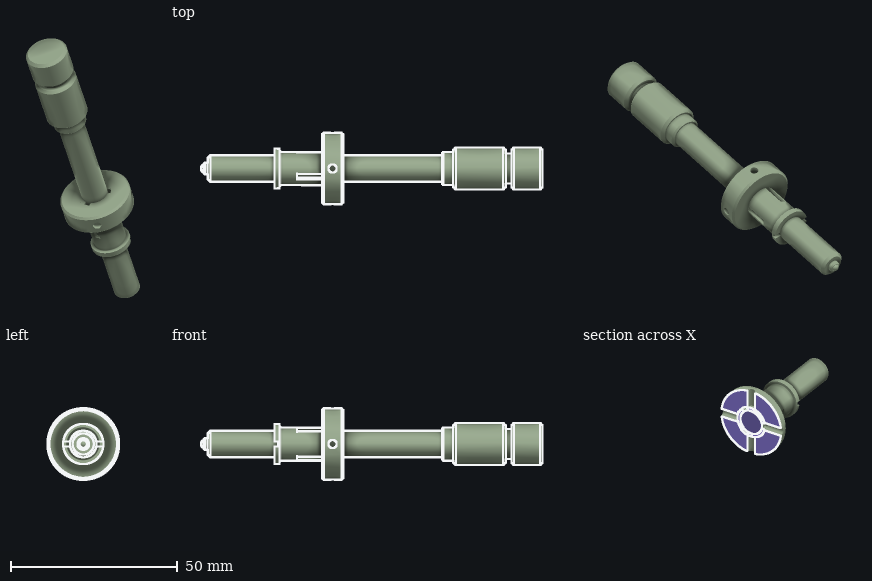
import cadquery as cq

TOTAL_LENGTH = 102.6

BALL_RADIUS = 1.2
HOLDER_RADIUS = 1.7
HOLDER_FRONT = 0.8
HOLDER_LENGTH = 4.1
HOLDER_CHAMFER = 0.4
holder_back = HOLDER_FRONT + HOLDER_LENGTH

ROD_RADIUS = 4.0
ROD_FRONT = 2.1
ROD_CHAMFER = 0.8

SLEEVE_RADIUS = 5.0
SLEEVE_FRONT = 22.1
FLANGE_RADIUS = 6.1
FLANGE_THICKNESS = 1.6
ROOT_FILLET = 0.3
NOTCH_WIDTH = 1.4
NOTCH_DEPTH = 1.1
SLOT_COUNT = 3
SLOT_WIDTH = 1.8
SLOT_FRONT = 28.9
flange_back = SLEEVE_FRONT + FLANGE_THICKNESS

COLLAR_RADIUS = 10.8
COLLAR_FRONT = 36.3
COLLAR_THICKNESS = 6.5
COLLAR_CHAMFER = 0.6
COLLAR_HOLE_COUNT = 4
COLLAR_HOLE_RADIUS = 1.2
collar_middle = COLLAR_FRONT + COLLAR_THICKNESS / 2
collar_back = COLLAR_FRONT + COLLAR_THICKNESS

NOSE_RADIUS = 5.0
NOSE_FRONT = 72.4
NOSE_CHAMFER = 0.5
BARREL_RADIUS = 6.4
BARREL_FRONT = 75.7
BARREL_BACK = 91.6
BARREL_CHAMFER = 0.8

NECK_RADIUS = 4.5
KNOB_RADIUS = BARREL_RADIUS
KNOB_FRONT = 93.2
KNOB_CHAMFER = BARREL_CHAMFER


def cylinder(radius, front, back):
    """Solid cylinder on the X axis between two x positions."""
    return cq.Workplane("YZ", origin=(front, 0, 0)).circle(radius).extrude(back - front)


def turned_about_axis(shape, index, count):
    """Copy of a shape at one of several equal angular steps about the X axis."""
    return shape.rotate((0, 0, 0), (1, 0, 0), index * 360 / count)


def make_ball():
    """Ball tip whose front point is at x = 0."""
    return cq.Workplane("XY").sphere(BALL_RADIUS).translate((BALL_RADIUS, 0, 0))


def make_holder(ball):
    """Chamfered pin whose front socket holds the ball."""
    pin = cylinder(HOLDER_RADIUS, HOLDER_FRONT, holder_back)
    return pin.faces("<X").edges().chamfer(HOLDER_CHAMFER).cut(ball)


def make_rod():
    """Long rod with a blind seat for the holder; it ends inside the barrel."""
    rod = cylinder(ROD_RADIUS, ROD_FRONT, BARREL_BACK)
    rod = rod.faces("<X").edges().chamfer(ROD_CHAMFER)
    return rod.cut(cylinder(HOLDER_RADIUS, ROD_FRONT, holder_back))


def make_sleeve():
    """Flanged sleeve on the rod, slit from the collar end into clamping fingers."""
    flange = cylinder(FLANGE_RADIUS, SLEEVE_FRONT, flange_back)
    sleeve = cylinder(SLEEVE_RADIUS, SLEEVE_FRONT, collar_back).union(flange)
    smallest_circles = sleeve.edges("%CIRCLE").edges(cq.selectors.RadiusNthSelector(0))
    sleeve = smallest_circles.edges("<X").fillet(ROOT_FILLET)

    notch = cq.Workplane("XY").box(NOTCH_DEPTH, 2 * FLANGE_RADIUS, NOTCH_WIDTH, centered=(False, True, True))
    sleeve = sleeve.cut(notch.translate((SLEEVE_FRONT, 0, 0)))

    slot = cq.Workplane("XY").box(
        collar_back - SLOT_FRONT, SLEEVE_RADIUS, SLOT_WIDTH, centered=(False, False, True)
    )
    slot = slot.translate((SLOT_FRONT, 0, 0))
    for index in range(SLOT_COUNT):
        sleeve = sleeve.cut(turned_about_axis(slot, index, SLOT_COUNT))

    return sleeve.cut(cylinder(ROD_RADIUS, SLEEVE_FRONT, collar_back))


def make_collar():
    """Chamfered ring around the sleeve with radial holes through its wall."""
    collar = cylinder(COLLAR_RADIUS, COLLAR_FRONT, collar_back).edges().chamfer(COLLAR_CHAMFER)
    hole = cq.Workplane("XY", origin=(collar_middle, 0, 0)).circle(COLLAR_HOLE_RADIUS).extrude(COLLAR_RADIUS)
    for index in range(COLLAR_HOLE_COUNT):
        collar = collar.cut(turned_about_axis(hole, index, COLLAR_HOLE_COUNT))
    return collar.cut(cylinder(SLEEVE_RADIUS, COLLAR_FRONT, collar_back))


def make_barrel():
    """Barrel with a narrower nose, bored to fit the rod."""
    nose = cylinder(NOSE_RADIUS, NOSE_FRONT, BARREL_BACK).faces("<X").edges().chamfer(NOSE_CHAMFER)
    barrel = cylinder(BARREL_RADIUS, BARREL_FRONT, BARREL_BACK).edges().chamfer(BARREL_CHAMFER)
    return barrel.union(nose).cut(cylinder(ROD_RADIUS, NOSE_FRONT, BARREL_BACK))


def make_knob():
    """Chamfered knob whose neck butts against the barrel."""
    knob = cylinder(KNOB_RADIUS, KNOB_FRONT, TOTAL_LENGTH).edges().chamfer(KNOB_CHAMFER)
    return knob.union(cylinder(NECK_RADIUS, BARREL_BACK, KNOB_FRONT))


ball = make_ball()
holder = make_holder(ball)
rod = make_rod()
sleeve = make_sleeve()
collar = make_collar()
barrel = make_barrel()
knob = make_knob()

result = cq.Compound.makeCompound(
    [ball.val(), holder.val(), rod.val(), sleeve.val(), collar.val(), barrel.val(), knob.val()]
)